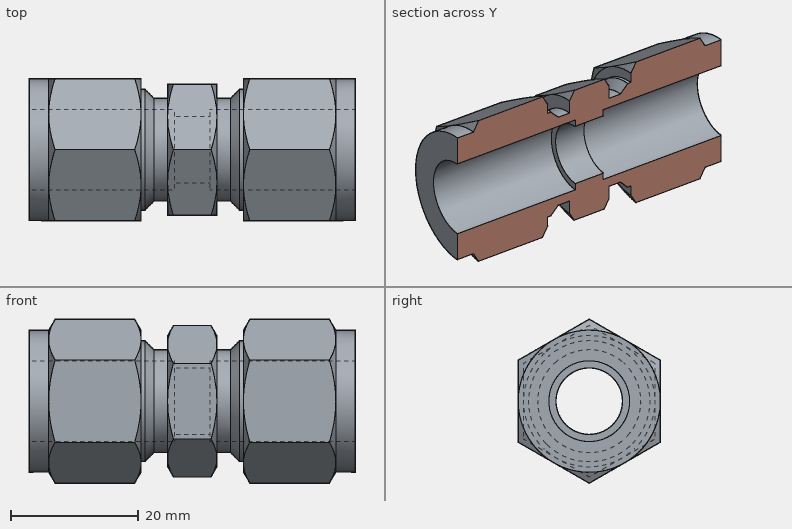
import cadquery as cq
import math

overall_length = 51.31
half_length = overall_length / 2

nut_across_flats = 22.35
nut_inner_end = 8.05
collar_length = 3.1
body_hex_across_flats = 20.64
body_hex_width = 7.75
chamfer_angle = 30.0

neck_diameter = 16.2
flange_diameter = 19.05
flange_inner_end = 7.45
flange_cone_angle = 45.0

bore_diameter = 10.41
tube_diameter = 12.7
tube_socket_depth = 22.9


def cylinder(diameter, x_start, x_end):
    """Cylinder about the X axis between two stations."""
    return cq.Workplane("YZ", origin=(x_start, 0, 0)).circle(diameter / 2).extrude(x_end - x_start)


def revolve_about_x(points):
    """Solid of revolution from (x, radius) points."""
    return cq.Workplane("XZ").polyline(points).close().revolve(360, (0, 0, 0), (1, 0, 0))


def chamfered_hex(across_flats, x_start, x_end):
    """Hexagonal prism along X whose corners are cut by a cone at both ends."""
    corner_radius = across_flats / math.sqrt(3)
    face_radius = across_flats / 2
    chamfer_length = (corner_radius - face_radius) * math.tan(math.radians(chamfer_angle))
    prism = (
        cq.Workplane("YZ", origin=(x_start, 0, 0))
        .polygon(6, 2 * corner_radius)
        .extrude(x_end - x_start)
        .rotate((0, 0, 0), (1, 0, 0), 90)
    )
    envelope = revolve_about_x([
        (x_start, 0),
        (x_start, face_radius),
        (x_start + chamfer_length, corner_radius),
        (x_end - chamfer_length, corner_radius),
        (x_end, face_radius),
        (x_end, 0),
    ])
    return prism.intersect(envelope)


def nut():
    """Hexagonal nut with a round collar at its outer end, on the +X side."""
    hex_outer_end = half_length - collar_length
    hexagon = chamfered_hex(nut_across_flats, nut_inner_end, hex_outer_end)
    return hexagon.union(cylinder(nut_across_flats, hex_outer_end, half_length))


def neck():
    """Neck that flares through a cone into the flange under the nut, on the +X side."""
    neck_radius = neck_diameter / 2
    flange_radius = flange_diameter / 2
    cone_length = (flange_radius - neck_radius) / math.tan(math.radians(flange_cone_angle))
    return revolve_about_x([
        (0, 0),
        (0, neck_radius),
        (flange_inner_end - cone_length, neck_radius),
        (flange_inner_end, flange_radius),
        (nut_inner_end, flange_radius),
        (nut_inner_end, 0),
    ])


def tube_socket():
    """Cavity that receives the tube, open at the +X end."""
    return cylinder(tube_diameter, half_length - tube_socket_depth, half_length)


half_hex_width = body_hex_width / 2
result = chamfered_hex(body_hex_across_flats, -half_hex_width, half_hex_width)

for end_feature in (neck(), nut()):
    result = result.union(end_feature).union(end_feature.mirror("YZ"))

result = result.cut(cylinder(bore_diameter, -half_length, half_length))
result = result.cut(tube_socket()).cut(tube_socket().mirror("YZ"))